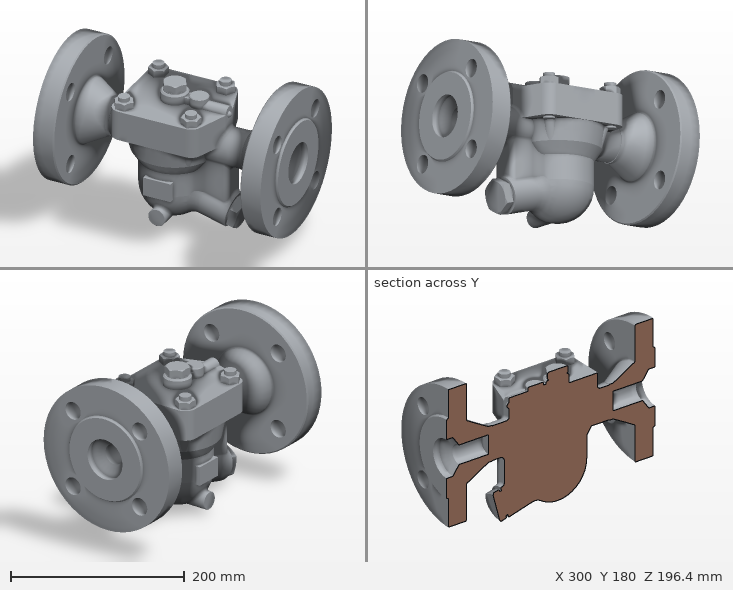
import cadquery as cq
import math

half_length = 150.0
body_x = -10.0
bolt_spacing = 87.0

wide_margin = 3.0
fine_margin = 0.3

flange_radius = 90.0
flange_bore_radius = 50.0 / 2
pipe_bore_radius = 25.0 / 2
pipe_radius = 46.0 / 2
face_height = 2.7
face_tip_radius = 102.0 / 2
face_root_radius = 106.0 / 2
flange_back = 120.5
flange_back_step = 1.5
hub_radius = 80.0 / 2
hub_fillet = 2.0
weld_outer = 88.2
weld_inner = 84.0
weld_radius = pipe_radius + 0.75
bore_straight = 9.0
bore_taper_end = 18.0
bore_depth = 60.0
flange_bolt_circle = 135.0
flange_hole_diameter = 22.0
flange_hole_count = 4

cover_bottom = 6.5
cover_top = 44.0
cover_corner_radius = 14.0
cover_tip_x = 60.3
cover_tip_half_width = 9.3
pipe_root_fillet = 3.5

stud_diameter = 14.0
stud_bottom = 4.5
stud_top = 58.2
hex_chamfer_angle = 30.0
nut_across_corners = 24.3
nut_face_diameter = 21.0
nut_height = 9.0

collar_diameter = 33.5
collar_height = 12.5
fitting_chamfer = 1.8
plug_neck_diameter = 27.0
plug_neck_height = 1.0
plug_across_corners = 30.0
plug_face_diameter = 25.8
plug_height = 9.5
knob_x = 22.0
knob_diameter = 23.0
knob_bevel = 1.0
bridge_width = 13.5
bridge_height = 8.7
rib_radius = 8.7
rib_top = 51.5
nose_radius = 4.0
nose_x = 59.5
nose_z = 41.5

bowl_top_radius = 56.5
bowl_rim_radius = 51.5
bowl_rim_z = -18.5
body_radius = 42.3
body_shoulder_z = -32.7
dome_z = -62.5
stud_lug_radius = 16.0 / 2
stud_lug_reach = 60.0
stud_lug_foot = 51.5
stud_lug_foot_z = -18.5

pad_width = 35.5
pad_top = -42.5
pad_bottom = -66.0
pad_front_y = -45.3
drain_diameter = 22.0
drain_z = -91.2
drain_front_y = -46.0
drain_chamfer = 0.5
drain_root_fillet = 3.0

strainer_tilt = 15.0
strainer_radius = 44.0 / 2
strainer_length = 79.2
strainer_root_fillet = 16.5
strainer_neck_radius = 18.0
strainer_neck_length = 2.0
strainer_hex_flats = 37.0
strainer_hex_height = 10.2

web_half_thickness = 16.8
web_end_x = 67.2
web_corner_radius = 6.0
web_blend_radius = 15.0
web_bottom = -72.0
web_barrel_fillet = 3.0
web_pipe_fillet = 4.8
web_pipe_fillet_reach = 27.0


def cylinder(x, y, bottom, top, diameter):
    """Upright cylinder between two heights."""
    return cq.Workplane("XY", origin=(x, y, bottom)).circle(diameter / 2).extrude(top - bottom)


def chamfered_hex(corner_diameter, face_diameter, height, turn):
    """Hexagonal head standing on z = 0 with a conical chamfer on its top."""
    hexagon = cq.Workplane("XY").polygon(6, corner_diameter).extrude(height)
    hexagon = hexagon.rotate((0, 0, 0), (0, 0, 1), turn)
    drop = (corner_diameter - face_diameter / 2) * math.tan(math.radians(hex_chamfer_angle))
    envelope = (
        cq.Workplane("XZ")
        .moveTo(0, -height)
        .lineTo(corner_diameter, -height)
        .lineTo(corner_diameter, height - drop)
        .lineTo(face_diameter / 2, height)
        .lineTo(0, height)
        .close()
        .revolve(360, (0, 0, 0), (0, 1, 0))
    )
    return hexagon.intersect(envelope)


def flange_and_neck():
    """Flange, weld neck and pipe stub on the -X side, turned about the X axis."""
    face_x = half_length - face_height
    fillet_shift = hub_fillet * math.sin(math.radians(45))
    step_radius = flange_radius - flange_back_step
    end = (
        cq.Workplane("XY")
        .moveTo(-half_length, 0)
        .lineTo(-half_length, face_tip_radius)
        .lineTo(-face_x, face_root_radius)
        .lineTo(-face_x, flange_radius)
        .lineTo(-flange_back - flange_back_step, flange_radius)
        .lineTo(-flange_back, step_radius)
        .lineTo(-flange_back, hub_radius + hub_fillet)
        .threePointArc(
            (-flange_back + hub_fillet - fillet_shift, hub_radius + hub_fillet - fillet_shift),
            (-flange_back + hub_fillet, hub_radius),
        )
        .lineTo(-weld_outer, pipe_radius)
        .lineTo(-weld_outer, weld_radius)
        .lineTo(-weld_inner, weld_radius)
        .lineTo(-weld_inner, 0)
        .close()
        .revolve(360, (0, 0, 0), (1, 0, 0))
    )
    holes = (
        cq.Workplane("YZ", origin=(-half_length, 0, 0))
        .polarArray(flange_bolt_circle / 2, 45, 360, flange_hole_count)
        .circle(flange_hole_diameter / 2)
        .extrude(half_length - flange_back)
    )
    return end.cut(holes)


def pipe_bore():
    """Bore of the -X end: straight mouth, taper, then the narrow passage."""
    return (
        cq.Workplane("XY")
        .moveTo(-half_length, 0)
        .lineTo(-half_length, flange_bore_radius)
        .lineTo(-half_length + bore_straight, flange_bore_radius)
        .lineTo(-half_length + bore_taper_end, pipe_bore_radius)
        .lineTo(-half_length + bore_depth, pipe_bore_radius)
        .lineTo(-half_length + bore_depth, 0)
        .close()
        .revolve(360, (0, 0, 0), (1, 0, 0))
    )


def both_ends(shape):
    return shape.union(shape.mirror("YZ"))


def bolt_positions():
    half = bolt_spacing / 2
    return [(body_x + sx * half, sy * half) for sx in (-1, 1) for sy in (-1, 1)]


def cover_block():
    """Cover and body flange: rounded at the studs, tapering to a blunt tip at +X."""
    outline = cq.Sketch()
    for position in bolt_positions():
        outline = outline.arc(position, cover_corner_radius, 0, 360)
    tip = [(cover_tip_x, side * cover_tip_half_width) for side in (-1, 1)]
    outline = outline.segment(*tip).hull()

    def slab(bottom, top):
        return cq.Workplane("XY", origin=(0, 0, bottom)).placeSketch(outline).extrude(top - bottom)

    pipe = cq.Workplane("YZ", origin=(-weld_inner, 0, 0)).circle(pipe_radius).extrude(2 * weld_inner)
    upper_pipe = pipe.intersect(
        cq.Workplane("XY", origin=(0, 0, cover_bottom)).box(
            2 * half_length, 2 * pipe_radius, pipe_radius, centered=(True, True, False)
        )
    )
    lower = slab(cover_bottom, cover_top).union(upper_pipe)
    root_edges = lower.edges("%CIRCLE or %ELLIPSE").edges(
        cq.selectors.BoxSelector(
            (-weld_inner + wide_margin, -pipe_radius, cover_bottom),
            (weld_inner - wide_margin, pipe_radius, pipe_radius + wide_margin),
        )
    )
    lower = lower.newObject(root_edges.vals()).fillet(pipe_root_fillet)
    return lower.union(pipe)


def studs_and_nuts():
    parts = cq.Workplane("XY")
    for x, y in bolt_positions():
        turn = 30 if (x - body_x) * y < 0 else 0
        nut = chamfered_hex(nut_across_corners, nut_face_diameter, nut_height, turn)
        parts = parts.union(nut.translate((x, y, cover_top)))
        parts = parts.union(cylinder(x, y, stud_bottom, stud_top, stud_diameter))
    return parts


def cover_fittings():
    """Hexagon plug on its collar, the knob beside it and the rib running to the tip."""
    collar_top = cover_top + collar_height
    collar = cylinder(body_x, 0, cover_top, collar_top, collar_diameter)
    knob = cylinder(knob_x, 0, cover_top, collar_top, knob_diameter)
    plug_bottom = collar_top + plug_neck_height
    neck = cylinder(body_x, 0, collar_top, plug_bottom, plug_neck_diameter)
    plug = chamfered_hex(plug_across_corners, plug_face_diameter, plug_height, 0)
    bridge = cq.Workplane("XY", origin=(body_x, 0, cover_top)).box(
        knob_x - body_x, bridge_width, bridge_height, centered=(False, True, False)
    )
    rib = (
        cq.Workplane("YZ", origin=(knob_x, 0, rib_top - rib_radius))
        .circle(rib_radius)
        .extrude(cover_tip_x - knob_x)
    )
    nose_round = nose_radius * math.sin(math.radians(45))
    nose = (
        cq.Workplane("XY", origin=(nose_x, 0, nose_z))
        .moveTo(-nose_radius, 0)
        .lineTo(-nose_radius, nose_radius)
        .lineTo(0, nose_radius)
        .threePointArc((nose_round, nose_round), (nose_radius, 0))
        .close()
        .revolve(360, (0, 0, 0), (1, 0, 0))
    )
    return (
        collar.faces(">Z").edges().chamfer(fitting_chamfer)
        .union(knob.faces(">Z").edges().chamfer(knob_bevel))
        .union(neck)
        .union(plug.translate((body_x, 0, plug_bottom)))
        .union(bridge)
        .union(rib)
        .union(nose)
    )


def body():
    """Turned bowl with a domed bottom, plus the drain stub blended into the dome."""
    dome_offset = body_radius * math.sin(math.radians(45))
    bowl = (
        cq.Workplane("XZ", origin=(body_x, 0, 0))
        .moveTo(0, cover_bottom)
        .lineTo(bowl_top_radius, cover_bottom)
        .lineTo(bowl_rim_radius, bowl_rim_z)
        .lineTo(body_radius, body_shoulder_z)
        .lineTo(body_radius, dome_z)
        .threePointArc((dome_offset, dome_z - dome_offset), (0, dome_z - body_radius))
        .close()
        .revolve(360, (0, 0, 0), (0, 1, 0))
    )
    drain = (
        cq.Workplane("XZ", origin=(body_x, drain_front_y, drain_z))
        .circle(drain_diameter / 2)
        .extrude(drain_front_y)
        .faces("<Y").edges().chamfer(drain_chamfer)
    )
    bowl = bowl.union(drain)
    root = cq.selectors.BoxSelector(
        (body_x - drain_diameter, drain_front_y + wide_margin, drain_z - drain_diameter),
        (body_x + drain_diameter, 0, drain_z + drain_diameter),
    )
    return bowl.edges(root).edges("not %LINE").fillet(drain_root_fillet)


def stud_lugs():
    """Round lugs under the studs, leaning inward so that they run out at the bowl rim."""
    drop = cover_bottom - stud_lug_foot_z
    lean = math.atan2(stud_lug_reach - stud_lug_foot, drop)
    foot_centre = (
        stud_lug_foot - stud_lug_radius * math.cos(lean),
        0,
        stud_lug_foot_z + stud_lug_radius * math.sin(lean),
    )
    leaning_plane = cq.Plane(
        origin=foot_centre,
        xDir=(math.cos(lean), 0, -math.sin(lean)),
        normal=(math.sin(lean), 0, math.cos(lean)),
    )
    lug = cq.Workplane(leaning_plane).circle(stud_lug_radius).extrude(drop / math.cos(lean))
    lugs = cq.Workplane("XY")
    for angle in (45, 135, 225, 315):
        lugs = lugs.union(lug.rotate((0, 0, 0), (0, 0, 1), angle).translate((body_x, 0, 0)))
    return lugs


def name_pad():
    return cq.Workplane("XY", origin=(body_x, pad_front_y, pad_bottom)).box(
        pad_width, -pad_front_y, pad_top - pad_bottom, centered=(True, False, False)
    )


def tilted(shape):
    """Lay an upright shape along the strainer axis, starting at the dome centre."""
    return shape.rotate((0, 0, 0), (0, 1, 0), 90 + strainer_tilt).translate((body_x, 0, dome_z))


def web_and_strainer_barrel():
    """Straight plate of the web standing on the plain strainer barrel, filleted together."""
    plate = (
        cq.Workplane("XY", origin=(body_x, 0, web_bottom))
        .box(web_end_x - body_x, 2 * web_half_thickness, -web_bottom, centered=(False, True, False))
        .edges("|Z and >X").fillet(web_corner_radius)
    )
    barrel = tilted(cq.Workplane("XY").circle(strainer_radius).extrude(strainer_length))
    joined = plate.union(barrel)
    joint = cq.selectors.BoxSelector(
        (body_x + wide_margin, -strainer_radius, web_bottom + fine_margin),
        (web_end_x + fine_margin, strainer_radius, -pipe_radius),
    )
    return joined.edges(joint).edges("not |Z").fillet(web_barrel_fillet)


def strainer_flare():
    """Concave flare carrying the dome into the strainer barrel."""
    centre_radius = strainer_radius + strainer_root_fillet
    reach = body_radius + strainer_root_fillet
    fillet_height = math.sqrt(reach**2 - centre_radius**2)
    dome_share = body_radius / reach
    mid_angle = (math.atan2(-fillet_height, -centre_radius) - math.pi) / 2
    flare = (
        cq.Workplane("XZ")
        .lineTo(centre_radius * dome_share, fillet_height * dome_share)
        .threePointArc(
            (
                centre_radius + strainer_root_fillet * math.cos(mid_angle),
                fillet_height + strainer_root_fillet * math.sin(mid_angle),
            ),
            (strainer_radius, fillet_height),
        )
        .lineTo(0, fillet_height)
        .close()
        .revolve(360, (0, 0, 0), (0, 1, 0))
    )
    return tilted(flare)


def strainer_cap():
    """Hexagon cap on a short neck at the end of the strainer barrel."""
    neck = cq.Workplane("XY").circle(strainer_neck_radius).extrude(strainer_neck_length)
    hex_corners = strainer_hex_flats / math.cos(math.radians(30))
    head = chamfered_hex(hex_corners, strainer_hex_flats, strainer_hex_height, 0)
    cap = neck.union(head.translate((0, 0, strainer_neck_length)))
    return tilted(cap.translate((0, 0, strainer_length)))


def web_flank_blends():
    """Concave flanks that carry the web tangentially into the round body."""
    centre_y = web_half_thickness + web_blend_radius
    reach = body_radius + web_blend_radius
    centre_dx = math.sqrt(reach**2 - centre_y**2)
    body_share = body_radius / reach
    mid_angle = (math.atan2(-centre_y, -centre_dx) - math.pi / 2) / 2
    mid = (
        centre_dx + web_blend_radius * math.cos(mid_angle),
        centre_y + web_blend_radius * math.sin(mid_angle),
    )
    half = (
        cq.Workplane("XY", origin=(body_x, 0, web_bottom))
        .lineTo(centre_dx * body_share, centre_y * body_share)
        .threePointArc(mid, (centre_dx, web_half_thickness))
        .lineTo(centre_dx, 0)
        .close()
        .extrude(-web_bottom)
    )
    return half.union(half.mirror("XZ"))


def fillet_web_to_pipe(shape):
    """Round the corner between the web and the underside of the pipe."""
    web_box = cq.selectors.BoxSelector(
        (
            web_end_x - web_pipe_fillet_reach,
            -web_half_thickness - fine_margin,
            -pipe_radius - fine_margin,
        ),
        (web_end_x + fine_margin, web_half_thickness + fine_margin, -pipe_radius / 2),
    )
    return shape.newObject(shape.edges(web_box).vals()).fillet(web_pipe_fillet)


solid = (
    cover_block()
    .union(both_ends(flange_and_neck()))
    .union(body())
    .union(stud_lugs())
    .union(studs_and_nuts())
    .union(cover_fittings())
    .union(name_pad())
    .union(web_and_strainer_barrel())
    .union(strainer_flare())
    .union(strainer_cap())
    .union(web_flank_blends())
)
solid = fillet_web_to_pipe(solid)
result = solid.cut(both_ends(pipe_bore()))